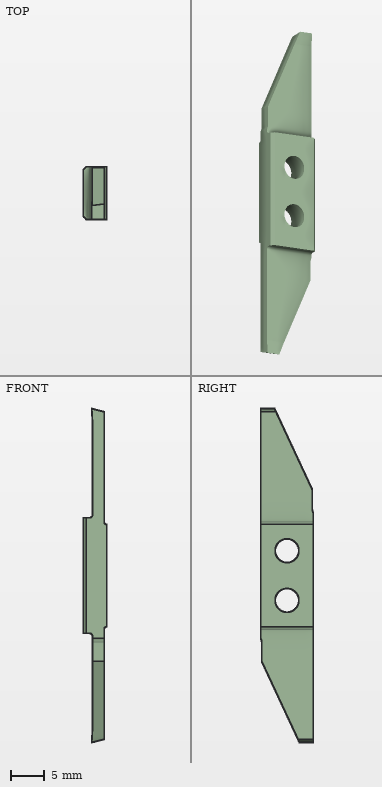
import cadquery as cq
import math

thickness = 3.6
width = 8.0
length = 50.5
half_width = width / 2
half_length = length / 2

pad_half_length = 8.75
pad_edge_chamfer = 0.5
pad_fillet = 0.4
back_pad_half_length = 7.75
back_pad_fillet = 0.35

pad_height = 1.4
blade_thickness = 1.8
pad_face_x = -thickness / 2
back_face_x = thickness / 2
blade_front_x = pad_face_x + pad_height
blade_back_x = blade_front_x + blade_thickness

tip_flare = 0.12
tip_flare_length = 2.0
tip_relief_angle = 14.0
tip_width = 2.12
edge_angle = 25.0

edge_relief = 0.15
edge_relief_gap = 0.75
edge_relief_start = pad_half_length + edge_relief_gap
edge_relief_run = 0.5

hole_diameter = 3.55
hole_spacing = 7.5


def make_profile():
    """Upper half of the XZ profile across the full width, joined to its mirror image."""
    tip_front_x = blade_front_x - tip_flare
    tip_drop = (blade_back_x - tip_front_x) * math.tan(math.radians(tip_relief_angle))
    upper_half = (
        cq.Workplane("XZ")
        .moveTo(pad_face_x, 0)
        .lineTo(pad_face_x, pad_half_length)
        .lineTo(blade_front_x - pad_fillet, pad_half_length)
        .radiusArc((blade_front_x, pad_half_length + pad_fillet), -pad_fillet)
        .lineTo(blade_front_x, half_length - tip_flare_length)
        .lineTo(tip_front_x, half_length)
        .lineTo(blade_back_x, half_length - tip_drop)
        .lineTo(blade_back_x, back_pad_half_length + back_pad_fillet)
        .radiusArc((blade_back_x + back_pad_fillet, back_pad_half_length), -back_pad_fillet)
        .lineTo(back_face_x, back_pad_half_length)
        .lineTo(back_face_x, 0)
        .close()
        .extrude(half_width, both=True)
    )
    return upper_half.union(upper_half.mirror("XY"))


def make_edge_cutter():
    """Material removed from the +Y side of the upper blade."""
    relieved_y = half_width - edge_relief
    tip_y = tip_width - half_width
    slant_start_z = half_length - (relieved_y - tip_y) / math.tan(math.radians(edge_angle))
    relief_end_z = edge_relief_start + edge_relief_run
    relief_radius = (edge_relief_run**2 + edge_relief**2) / (2 * edge_relief)
    return (
        cq.Workplane("YZ")
        .moveTo(half_width, edge_relief_start)
        .radiusArc((relieved_y, relief_end_z), relief_radius)
        .lineTo(relieved_y, slant_start_z)
        .lineTo(tip_y, half_length)
        .lineTo(half_width, half_length)
        .close()
        .extrude(thickness, both=True)
    )


def make_holes():
    """Two screw holes through the pad along X."""
    return (
        cq.Workplane("YZ")
        .pushPoints([(0, -hole_spacing / 2), (0, hole_spacing / 2)])
        .circle(hole_diameter / 2)
        .extrude(thickness, both=True)
    )


knife = make_profile().faces("<X").edges("|Z").chamfer(pad_edge_chamfer)
upper_cutter = make_edge_cutter()
lower_cutter = upper_cutter.rotate((0, 0, 0), (1, 0, 0), 180)
result = knife.cut(upper_cutter).cut(lower_cutter).cut(make_holes())